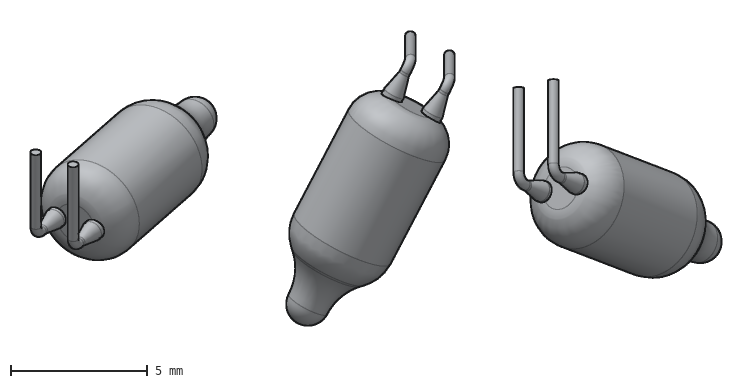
import cadquery as cq
import math


bulb_radius = 2.0
bulb_length = 9.2
base_round = 1.2
tip_radius = 0.8
shoulder_round = 1.6
neck_round = 2.25
slope_angle = math.radians(44.5)

lead_spacing = 1.6
wire_radius = 0.2
stub_radius = 0.4
stub_depth = 0.4
stub_exposed = 0.15
taper_length = 0.82
straight_length = 0.1
bend_radius = 0.4
lead_height = 3.6


def arc_point(center, radius, angle):
    """Point on a circle in the (radius, axis) profile plane."""
    return (center[0] + radius * math.cos(angle), center[1] + radius * math.sin(angle))


def make_envelope():
    """Solid of revolution about Y: rounded base, cylinder, shoulder, neck and tip."""
    tip_center = (0, bulb_length - tip_radius)
    neck_center = (tip_radius + neck_round, tip_center[1])
    neck_mid = arc_point(neck_center, neck_round, math.pi + slope_angle / 2)
    neck_end = arc_point(neck_center, neck_round, math.pi + slope_angle)

    shoulder_x = bulb_radius - shoulder_round
    shoulder_end_x = shoulder_x + shoulder_round * math.cos(slope_angle)
    shoulder_end_y = neck_end[1] - (shoulder_end_x - neck_end[0]) / math.tan(slope_angle)
    shoulder_center = (shoulder_x, shoulder_end_y - shoulder_round * math.sin(slope_angle))
    shoulder_mid = arc_point(shoulder_center, shoulder_round, slope_angle / 2)

    base_center = (bulb_radius - base_round, base_round)
    base_mid = arc_point(base_center, base_round, -math.pi / 4)

    return (
        cq.Workplane("XY")
        .lineTo(base_center[0], 0)
        .threePointArc(base_mid, (bulb_radius, base_round))
        .lineTo(bulb_radius, shoulder_center[1])
        .threePointArc(shoulder_mid, (shoulder_end_x, shoulder_end_y))
        .lineTo(*neck_end)
        .threePointArc(neck_mid, (tip_radius, tip_center[1]))
        .threePointArc(arc_point(tip_center, tip_radius, math.pi / 4), (0, bulb_length))
        .close()
        .revolve(360, (0, 0, 0), (0, 1, 0))
    )


def make_lead(x):
    """Stub tapering down to a wire that bends from -Y up to +Z."""
    taper_start = -stub_exposed
    taper_end = taper_start - taper_length
    bend_start = taper_end - straight_length
    upright_y = bend_start - bend_radius

    stub = (
        cq.Workplane("XY")
        .moveTo(x, stub_depth)
        .lineTo(x + stub_radius, stub_depth)
        .lineTo(x + stub_radius, taper_start)
        .lineTo(x + wire_radius, taper_end)
        .lineTo(x, taper_end)
        .close()
        .revolve(360, (x, 0, 0), (x, 1, 0))
    )

    bend_mid = arc_point((bend_start, bend_radius), bend_radius, -3 * math.pi / 4)
    wire_path = (
        cq.Workplane("YZ", origin=(x, 0, 0))
        .moveTo(taper_end, 0)
        .lineTo(bend_start, 0)
        .threePointArc(bend_mid, (upright_y, bend_radius))
        .lineTo(upright_y, lead_height)
    )
    wire = cq.Workplane("XZ", origin=(x, taper_end, 0)).circle(wire_radius).sweep(wire_path)
    return stub.union(wire)


leads = [make_lead(side * lead_spacing / 2) for side in (-1, 1)]

envelope = make_envelope()
for lead in leads:
    envelope = envelope.cut(lead)

result = cq.Compound.makeCompound([envelope.solids().val(), *[lead.solids().val() for lead in leads]])